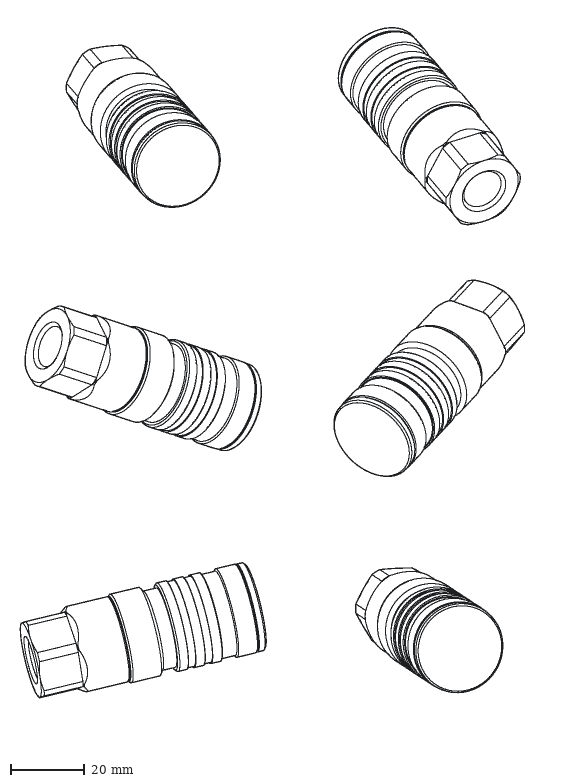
import cadquery as cq
import math

LENGTH = 63.6
BARREL_D = 25.0
BARREL_R = BARREL_D / 2
BODY_R = 12.0
EDGE_BEVEL = 0.5

HEX_SIDES = 6
HEX_FLATS = 21.0
HEX_CORNER_R = 11.45
HEX_LEN = 11.6
HEX_FACE_BEVEL = 0.6
HEX_BLEND_ANGLE = 45.0
SHOULDER_BEVEL = 0.25
CUTTER_MARGIN = 0.65

BODY_END = 24.9
BODY_END_BEVEL = 0.4
COLLAR_START = 25.05
COLLAR_END = 33.65
COLLAR_TAPER_LEN = 0.95
NECK_R = 11.2

RING_STARTS = (38.35, 43.45, 48.2)
RING_ENDS = (41.35, 46.1, 50.95)
RING_GAP_R = 12.15

WAIST_R = 11.9
WAIST_BLEND = 0.2
SLEEVE_START = 55.3
SLEEVE_BEVEL = 0.3
SNAP_GROOVE_START = 60.9
SNAP_GROOVE_END = 61.5
SNAP_GROOVE_DEPTH = 0.4
RIM_R = 12.4
END_BEVEL = 0.5

BORE_R = 5.7
BORE_MOUTH_R = 6.7
BORE_DEPTH = 12.7
VALVE_BASE_R = 3.25
VALVE_TIP_R = 0.7
VALVE_CONE_HEIGHT = 1.9


def revolve_about_x(outline):
    """Turn a closed outline of (x, radius) points about the X axis."""
    return cq.Workplane("XY").polyline(outline).close().revolve(360, (0, 0, 0), (1, 0, 0))


def turned_blank():
    mouth_r = HEX_FLATS / 2
    outline = [
        (0, 0),
        (0, mouth_r),
        (HEX_FACE_BEVEL, HEX_CORNER_R),
        (HEX_LEN, HEX_CORNER_R),
        (HEX_LEN, BODY_R - SHOULDER_BEVEL),
        (HEX_LEN + SHOULDER_BEVEL, BODY_R),
        (BODY_END - BODY_END_BEVEL, BODY_R),
        (BODY_END, BODY_R - BODY_END_BEVEL),
        (COLLAR_START, BODY_R - BODY_END_BEVEL),
        (COLLAR_START, BARREL_R - EDGE_BEVEL),
        (COLLAR_START + EDGE_BEVEL, BARREL_R),
        (COLLAR_END, BARREL_R),
        (COLLAR_END + COLLAR_TAPER_LEN, NECK_R),
        (RING_STARTS[0], NECK_R),
        (RING_STARTS[0], BARREL_R - EDGE_BEVEL),
        (RING_STARTS[0] + EDGE_BEVEL, BARREL_R),
    ]
    for ring_end, next_start in zip(RING_ENDS, RING_STARTS[1:]):
        outline += [
            (ring_end, BARREL_R),
            (ring_end, RING_GAP_R),
            (next_start, RING_GAP_R),
            (next_start, BARREL_R),
        ]
    outline += [
        (RING_ENDS[-1], BARREL_R),
        (RING_ENDS[-1], WAIST_R + WAIST_BLEND),
        (RING_ENDS[-1] + WAIST_BLEND, WAIST_R),
        (SLEEVE_START, WAIST_R),
        (SLEEVE_START + SLEEVE_BEVEL, BARREL_R),
        (SNAP_GROOVE_START, BARREL_R),
        (SNAP_GROOVE_START + SNAP_GROOVE_DEPTH, RIM_R - SNAP_GROOVE_DEPTH),
        (SNAP_GROOVE_END, RIM_R - SNAP_GROOVE_DEPTH),
        (SNAP_GROOVE_END, RIM_R),
        (LENGTH - END_BEVEL, RIM_R),
        (LENGTH, RIM_R - END_BEVEL),
        (LENGTH, 0),
    ]
    return revolve_about_x(outline)


def hexagon_flat_cutter(angle):
    """Block that mills one flat and its sloped run-out into the body."""
    flat = HEX_FLATS / 2
    clear = BARREL_R + CUTTER_MARGIN
    run_out = (clear - flat) / math.tan(math.radians(HEX_BLEND_ANGLE))
    outline = [
        (-CUTTER_MARGIN, flat),
        (HEX_LEN, flat),
        (HEX_LEN + run_out, clear),
        (-CUTTER_MARGIN, clear),
    ]
    return (
        cq.Workplane("XZ")
        .polyline(outline)
        .close()
        .extrude(BARREL_R, both=True)
        .rotate((0, 0, 0), (1, 0, 0), angle)
    )


def valve_bore():
    """Bevelled blind bore, leaving a truncated valve cone standing on its floor."""
    return revolve_about_x([
        (0, 0),
        (0, BORE_MOUTH_R),
        (BORE_MOUTH_R - BORE_R, BORE_R),
        (BORE_DEPTH, BORE_R),
        (BORE_DEPTH, VALVE_BASE_R),
        (BORE_DEPTH - VALVE_CONE_HEIGHT, VALVE_TIP_R),
        (BORE_DEPTH - VALVE_CONE_HEIGHT, 0),
    ])


result = turned_blank()
for side in range(HEX_SIDES):
    result = result.cut(hexagon_flat_cutter(360 / HEX_SIDES * side))
result = result.cut(valve_bore())